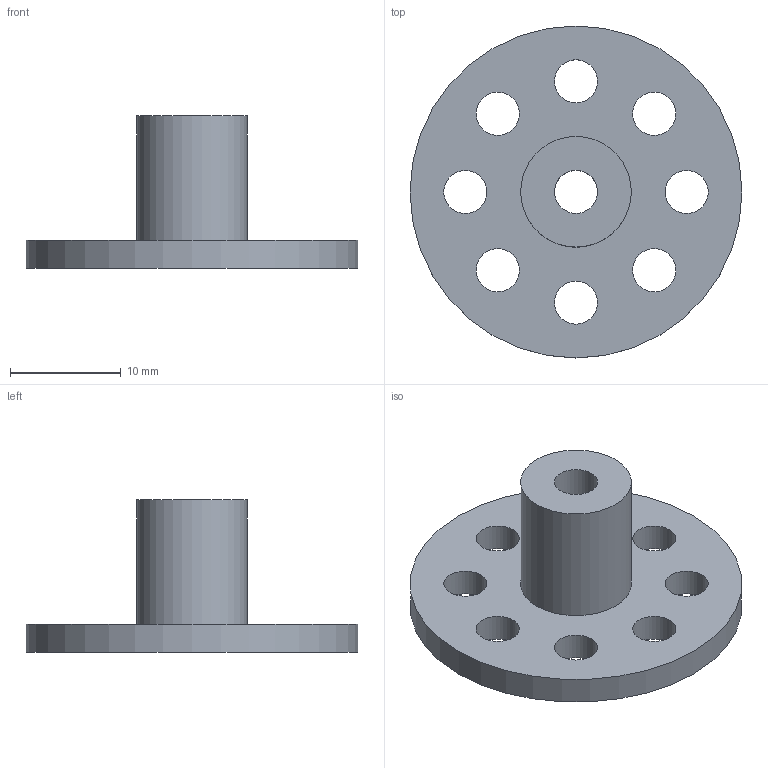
import cadquery as cq

flange_diameter = 30.0
flange_thickness = 2.5
hub_diameter = 10.0
total_height = 13.75
hole_diameter = 3.9
hole_circle_diameter = 20.0
hole_count = 8

hub_height = total_height - flange_thickness


def make_body():
    """Round flange with a coaxial hub standing on its top face."""
    flange = cq.Workplane("XY").circle(flange_diameter / 2).extrude(flange_thickness)
    return flange.faces(">Z").workplane().circle(hub_diameter / 2).extrude(hub_height)


def make_bore():
    """Cutter for the central bore through hub and flange."""
    return cq.Workplane("XY").circle(hole_diameter / 2).extrude(total_height)


def make_flange_holes():
    """Cutters for the ring of through holes in the flange, the first one on +X."""
    return (
        cq.Workplane("XY")
        .polarArray(hole_circle_diameter / 2, 0, 360, hole_count)
        .circle(hole_diameter / 2)
        .extrude(flange_thickness)
    )


result = make_body().cut(make_bore()).cut(make_flange_holes())